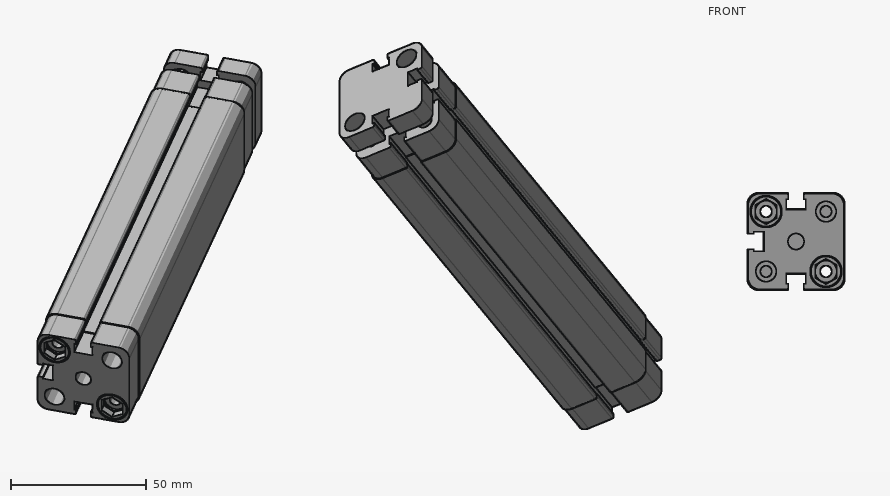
import cadquery as cq
import math

length = 175.5
front_cap_length = 12.3
rear_cap_length = 12.1
gap_length = 4.2
plate_thickness = 8.0
front_y = -length / 2
barrel_front_y = front_y + front_cap_length
plate_y = length / 2 - plate_thickness
gap_y = plate_y - gap_length
barrel_back_y = gap_y - rear_cap_length

barrel_width = 36.2
cap_width = 35.3
corner_centre = 13.5

slot_width = 7.0
slot_mouth_width = 5.6
slot_depth = 6.0
slot_lip_depth = 2.1
slot_mouth_radius = 0.7

hole_offset = 11.0
screw_hole_diameter = 4.2
counterbore_diameter = 7.5
counterbore_depth = 10.5
blind_hole_depth = 21.0
centre_hole_diameter = 6.0
centre_hole_depth = 10.5
socket_across_flats = 8.0
socket_depth = 3.0
socket_bore_diameter = 8.0
socket_bore_depth = 4.0
ring_outer_diameter = 11.8
ring_inner_diameter = 11.0
ring_depth = 0.5

rod_diameter = 10.0
rod_across_flats = 8.5
rod_flat_length = 3.3
rod_chamfer_length = 1.0
rod_chamfer_height = 0.4
guide_offset = 12.0
guide_diameter = 5.5
access_hole_diameter = 8.5

counterbored_corners = [(hole_offset, hole_offset), (-hole_offset, -hole_offset)]
socket_corners = [(-hole_offset, hole_offset), (hole_offset, -hole_offset)]
guide_positions = [(guide_offset, guide_offset), (-guide_offset, -guide_offset)]


def section_at(y):
    """Sketch plane across the part at y, with local axes X and Z and its normal toward -Y."""
    return cq.Workplane(cq.Plane(origin=(0, y, 0), xDir=(1, 0, 0), normal=(0, -1, 0)))


def block(width, start_y, end_y):
    """Square bar whose corner arcs share one centre for every width."""
    bar = section_at(start_y).rect(width, width).extrude(start_y - end_y)
    return bar.edges("|Y").fillet(width / 2 - corner_centre)


def cylinder(points, diameter, start_y, end_y):
    """Equal round bars along Y, centred on the given (x, z) points."""
    return section_at(start_y).pushPoints(points).circle(diameter / 2).extrude(start_y - end_y)


def t_slot(width, angle):
    """Cutter for the T-slot in the top of a block, turned about Y by the angle in degrees."""
    surface = width / 2
    half_mouth = slot_mouth_width / 2
    arc_inset = slot_mouth_radius * (1 - math.sqrt(0.5))
    profile = (
        section_at(front_y)
        .moveTo(0, surface)
        .lineTo(half_mouth + slot_mouth_radius, surface)
        .threePointArc(
            (half_mouth + arc_inset, surface - arc_inset),
            (half_mouth, surface - slot_mouth_radius),
        )
        .lineTo(half_mouth, surface - slot_lip_depth)
        .lineTo(slot_width / 2, surface - slot_lip_depth)
        .lineTo(slot_width / 2, surface - slot_depth)
        .lineTo(0, surface - slot_depth)
        .mirrorY()
    )
    return profile.extrude(-length).rotate((0, 0, 0), (0, 1, 0), angle)


def slotted_block(width, start_y, end_y):
    """Bar with T-slots in its top, bottom and -X sides."""
    bar = block(width, start_y, end_y)
    for angle in (0, 180, -90):
        bar = bar.cut(t_slot(width, angle))
    return bar


def piston_rod():
    """Round rod whose end at the plate is tapered and has flats facing -X and +X."""
    rod = cylinder([(0, 0)], rod_diameter, gap_y, plate_y)
    rod = rod.faces(">Y").chamfer(rod_chamfer_length, rod_chamfer_height)
    flat_y = plate_y - rod_flat_length
    between_flats = section_at(flat_y).rect(rod_across_flats, rod_diameter).extrude(-rod_flat_length)
    shank = cylinder([(0, 0)], rod_diameter, gap_y, flat_y)
    return rod.intersect(between_flats).union(shank)


def front_hole(points, diameter, depth):
    """Cutters for equal round holes sunk from the front face."""
    return cylinder(points, diameter, front_y, front_y + depth)


def socket_screw_cut():
    """Hexagon sockets, thin rings around them and holes through to the end plate on one diagonal."""
    hexagon = (
        section_at(front_y)
        .pushPoints(socket_corners)
        .polygon(6, socket_across_flats, circumscribed=True)
        .extrude(-socket_depth)
    )
    bore = front_hole(socket_corners, socket_bore_diameter, socket_bore_depth)
    ring = front_hole(socket_corners, ring_outer_diameter, ring_depth)
    ring = ring.cut(front_hole(socket_corners, ring_inner_diameter, ring_depth))
    through = front_hole(socket_corners, screw_hole_diameter, length)
    return hexagon.union(bore).union(ring).union(through)


result = slotted_block(cap_width, front_y, barrel_front_y)
result = result.union(slotted_block(barrel_width, barrel_front_y, barrel_back_y))
result = result.union(slotted_block(cap_width, barrel_back_y, gap_y))
result = result.union(slotted_block(cap_width, plate_y, length / 2))

result = result.union(piston_rod())
result = result.union(cylinder(guide_positions, guide_diameter, gap_y, plate_y))

result = result.cut(front_hole([(0, 0)], centre_hole_diameter, centre_hole_depth))
result = result.cut(front_hole(counterbored_corners, counterbore_diameter, counterbore_depth))
result = result.cut(front_hole(counterbored_corners, screw_hole_diameter, blind_hole_depth))
result = result.cut(socket_screw_cut())
result = result.cut(cylinder(socket_corners, access_hole_diameter, plate_y, length / 2))